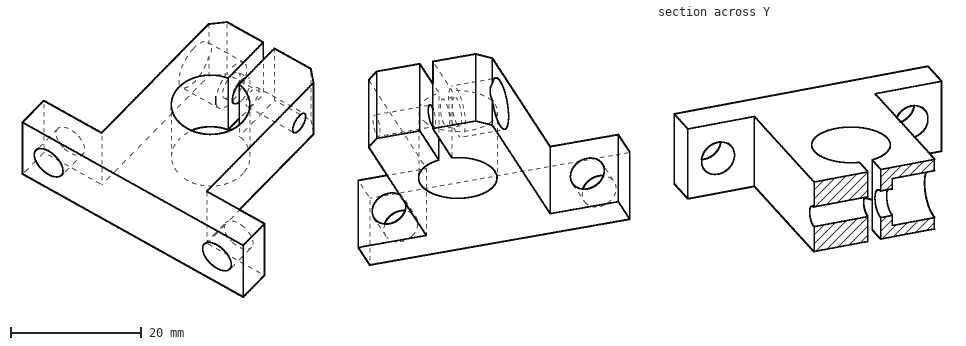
import cadquery as cq

length = 42.0
height = 35.0
thickness = 12.0
foot_depth = 5.5
stem_width = 20.0
corner_chamfer = 2.0

bore_diameter = 12.0
bore_y = 20.0
slit_width = 2.1

mount_diameter = 5.45
mount_spacing = 32.0

screw_y = height - 5.7
head_diameter = 8.0
head_depth = 7.0
clearance_diameter = 4.5
tapped_diameter = 3.3

half_stem = stem_width / 2
half_slit = slit_width / 2


def screw_bore(diameter, start_x, end_x):
    """Cylinder along X on the clamp screw axis."""
    return (
        cq.Workplane("YZ", origin=(start_x, screw_y, 0))
        .circle(diameter / 2)
        .extrude(end_x - start_x)
    )


foot = cq.Workplane("XY").box(length, foot_depth, thickness, centered=(True, False, True))
stem = (
    cq.Workplane("XY")
    .box(stem_width, height, thickness, centered=(True, False, True))
    .edges("|Z and >Y")
    .chamfer(corner_chamfer)
)
body = foot.union(stem)

bore = (
    cq.Workplane("XY", origin=(0, bore_y, -thickness / 2))
    .circle(bore_diameter / 2)
    .extrude(thickness)
)
slit = (
    cq.Workplane("XY", origin=(0, bore_y, 0))
    .box(slit_width, height - bore_y, thickness, centered=(True, False, True))
)
body = body.cut(bore).cut(slit)

mount_holes = (
    cq.Workplane("XZ")
    .pushPoints([(-mount_spacing / 2, 0), (mount_spacing / 2, 0)])
    .circle(mount_diameter / 2)
    .extrude(-foot_depth)
)
body = body.cut(mount_holes)

body = body.cut(screw_bore(head_diameter, -half_stem, -half_stem + head_depth))
body = body.cut(screw_bore(clearance_diameter, -half_stem, -half_slit))
body = body.cut(screw_bore(tapped_diameter, half_slit, half_stem))

result = body